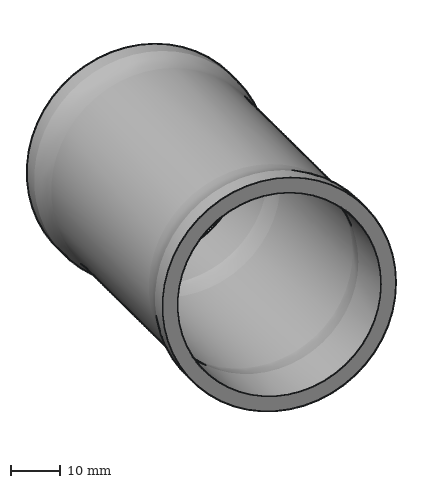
import cadquery as cq
import math

length = 90.0
half_length = length / 2

collar_outer_radius = 49.95 / 2
collar_bore_radius = 43.5 / 2

tube_outer_radius = 47.6 / 2
tube_bore_radius = 45.0 / 2

collar_outer_length = 4.95
tube_outer_start = 12.7

collar_bore_length = 15.0
tube_bore_start = 21.15

collar_outer_x = half_length - collar_outer_length
tube_outer_x = half_length - tube_outer_start
collar_bore_x = half_length - collar_bore_length
tube_bore_x = half_length - tube_bore_start


def blend_midpoint(tangent_point, far_point):
    """Middle of the arc that leaves tangent_point parallel to the axis and ends at far_point."""
    run = far_point[0] - tangent_point[0]
    rise = far_point[1] - tangent_point[1]
    arc_angle = 2 * math.atan2(abs(rise), abs(run))
    bend_share = math.sin(arc_angle / 2) / math.sin(arc_angle)
    lift_share = (1 - math.cos(arc_angle / 2)) / (1 - math.cos(arc_angle))
    return (tangent_point[0] + run * bend_share, tangent_point[1] + rise * lift_share)


def mirrored(point):
    """The matching point at the opposite end of the sleeve."""
    return (-point[0], point[1])


collar_outer = (collar_outer_x, collar_outer_radius)
tube_outer = (tube_outer_x, tube_outer_radius)
collar_bore = (collar_bore_x, collar_bore_radius)
tube_bore = (tube_bore_x, tube_bore_radius)

outer_middle = blend_midpoint(tube_outer, collar_outer)
bore_middle = blend_midpoint(tube_bore, collar_bore)

wall_section = (
    cq.Workplane("XY")
    .moveTo(-half_length, collar_bore_radius)
    .lineTo(-half_length, collar_outer_radius)
    .lineTo(*mirrored(collar_outer))
    .threePointArc(mirrored(outer_middle), mirrored(tube_outer))
    .lineTo(*tube_outer)
    .threePointArc(outer_middle, collar_outer)
    .lineTo(half_length, collar_outer_radius)
    .lineTo(half_length, collar_bore_radius)
    .lineTo(*collar_bore)
    .threePointArc(bore_middle, tube_bore)
    .lineTo(*mirrored(tube_bore))
    .threePointArc(mirrored(bore_middle), mirrored(collar_bore))
    .close()
)

result = wall_section.revolve(360, (0, 0, 0), (1, 0, 0))